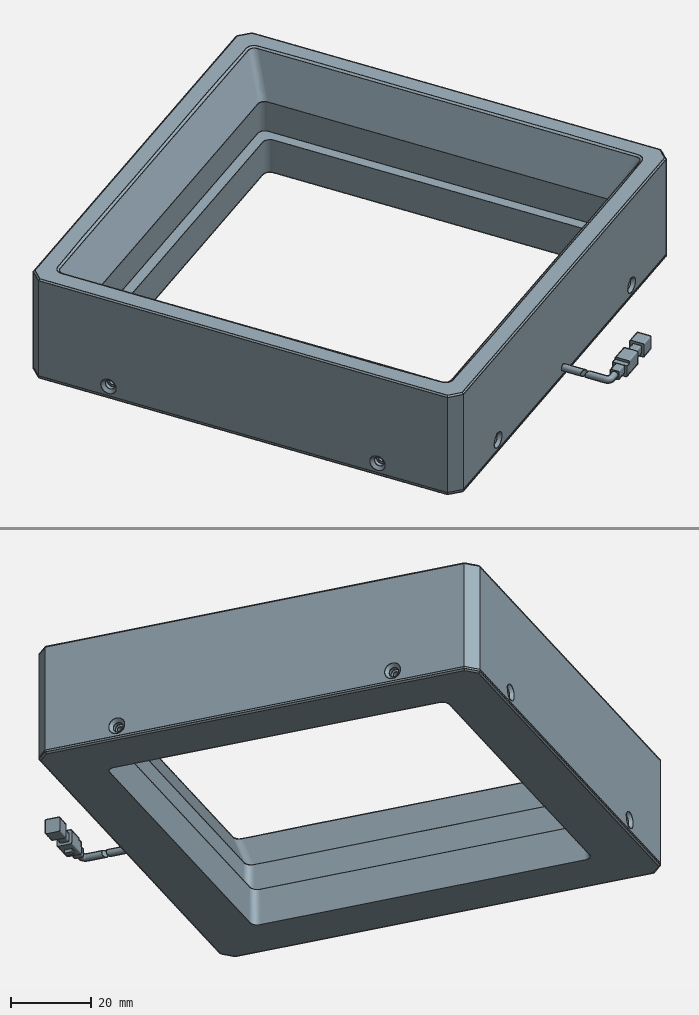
import cadquery as cq

frame_side = 120.0
frame_height = 30.4
corner_chamfer = 3.0
edge_chamfer = 0.4
rim_inset = 5.3
bore_inset = 11.0
slope_bottom_z = 18.9
inner_corner_radius = 2.0

flange_thickness = 1.0
collar_top_z = 10.0
opening_inset = 13.8

hole_pitch = 75.0
hole_z = 3.8
countersink_diameter = 4.3
hole_diameter = 2.5
countersink_depth = (countersink_diameter - hole_diameter) / 2
pilot_diameter = 1.4
hole_depth = 2.0
pilot_depth = 4.0

cable_diameter = 1.9
cable_y = -1.0
cable_z = 3.0
bend_radius = 1.1
stub_length = 5.8
break_gap = 1.2
break_slant = 1.0

reach = 135
connector_size = 4.0
connector_edge_radius = 0.4
neck_size = 2.5
tail_start_y = 1.9
socket_start_y = 4.9
socket_end_y = 11.0
plug_start_y = 14.5
plug_end_y = 18.4
step_length = 1.4
step_height = 0.7
latch_width = 2.0
latch_length = 1.4

half_side = frame_side / 2
rim_side = frame_side - 2 * rim_inset
bore_side = frame_side - 2 * bore_inset
opening_side = frame_side - 2 * opening_inset
connector_x = reach - half_side - connector_size / 2


def chamfered_square(bottom_z, top_z):
    block = cq.Workplane("XY", origin=(0, 0, bottom_z)).rect(frame_side, frame_side).extrude(top_z - bottom_z)
    return block.edges("|Z").chamfer(corner_chamfer)


def square_void(bottom_side, bottom_z, top_side, top_z):
    """Square opening with rounded corners, widening from the bottom side to the top side."""
    void = (
        cq.Workplane("XY", origin=(0, 0, bottom_z))
        .rect(bottom_side, bottom_side)
        .workplane(offset=top_z - bottom_z)
        .rect(top_side, top_side)
        .loft(ruled=True)
    )
    return void.edges("not(<Z or >Z)").fillet(inner_corner_radius)


def countersunk_hole():
    """Hole going in from the -Y side of the housing, with a smaller pilot hole behind it."""
    mouth_plane = cq.Workplane("XZ", origin=(0, -half_side, hole_z))
    cone = cq.Workplane(
        cq.Solid.makeCone(
            countersink_diameter / 2,
            hole_diameter / 2,
            countersink_depth,
            cq.Vector(0, -half_side, hole_z),
            cq.Vector(0, 1, 0),
        )
    )
    shank = mouth_plane.circle(hole_diameter / 2).extrude(-hole_depth)
    pilot = mouth_plane.circle(pilot_diameter / 2).extrude(-pilot_depth)
    return cone.union(shank).union(pilot)


def make_housing():
    body = chamfered_square(flange_thickness, frame_height)
    body = body.cut(square_void(bore_side, 0, bore_side, slope_bottom_z))
    body = body.cut(square_void(bore_side, slope_bottom_z, rim_side, frame_height))
    body = body.faces(">Z").edges().chamfer(edge_chamfer)
    for angle in (0, 90, 180, 270):
        for x in (-hole_pitch / 2, hole_pitch / 2):
            hole = countersunk_hole().translate((x, 0, 0))
            body = body.cut(hole.rotate((0, 0, 0), (0, 0, 1), angle))
    return body


def make_base_ring():
    flange = chamfered_square(0, flange_thickness).faces("<Z").edges().chamfer(edge_chamfer)
    collar = square_void(bore_side, 0, bore_side, collar_top_z)
    opening = square_void(opening_side, 0, opening_side, collar_top_z)
    return flange.union(collar).cut(opening)


def make_cable_pieces():
    """Cable from the housing round a bend to the socket, parted by the slanted gap."""
    path = (
        cq.Workplane("XY", origin=(0, 0, cable_z))
        .moveTo(half_side, cable_y)
        .lineTo(connector_x - bend_radius, cable_y)
        .radiusArc((connector_x, cable_y + bend_radius), -bend_radius)
        .lineTo(connector_x, tail_start_y)
    )
    cable = cq.Workplane("YZ", origin=(half_side, cable_y, cable_z)).circle(cable_diameter / 2).sweep(path)
    gap_x = half_side + stub_length
    gap = (
        cq.Workplane("XY", origin=(gap_x, cable_y, cable_z))
        .polyline(
            [
                (-break_slant, -cable_diameter),
                (break_gap - break_slant, -cable_diameter),
                (break_gap + break_slant, cable_diameter),
                (break_slant, cable_diameter),
            ]
        )
        .close()
        .extrude(cable_diameter, both=True)
    )
    return cable.cut(gap).solids().vals()


def block_along_y(size, start_y, end_y):
    """Square bar on the connector axis with its long edges rounded."""
    bar = cq.Workplane("XZ", origin=(connector_x, start_y, cable_z)).rect(size, size).extrude(start_y - end_y)
    return bar.edges("|Y").fillet(connector_edge_radius)


def make_socket():
    top_z = cable_z + connector_size / 2
    step = (
        cq.Workplane("YZ", origin=(connector_x, socket_start_y, top_z))
        .rect(2 * step_length, 2 * step_height)
        .extrude(connector_size / 2, both=True)
    )
    latch = (
        cq.Workplane("XY", origin=(connector_x, (socket_start_y + socket_end_y) / 2, 0))
        .rect(latch_width, latch_length)
        .extrude(cable_z)
    )
    tail = block_along_y(neck_size, tail_start_y, socket_start_y)
    return block_along_y(connector_size, socket_start_y, socket_end_y).cut(step).union(tail).union(latch)


def make_plug():
    neck = block_along_y(neck_size, socket_end_y, plug_start_y)
    return block_along_y(connector_size, plug_start_y, plug_end_y).union(neck)


housing = make_housing()
base_ring = make_base_ring()
cable_pieces = make_cable_pieces()
socket = make_socket()
plug = make_plug()

result = cq.Compound.makeCompound([housing.val(), base_ring.val(), *cable_pieces, socket.val(), plug.val()])